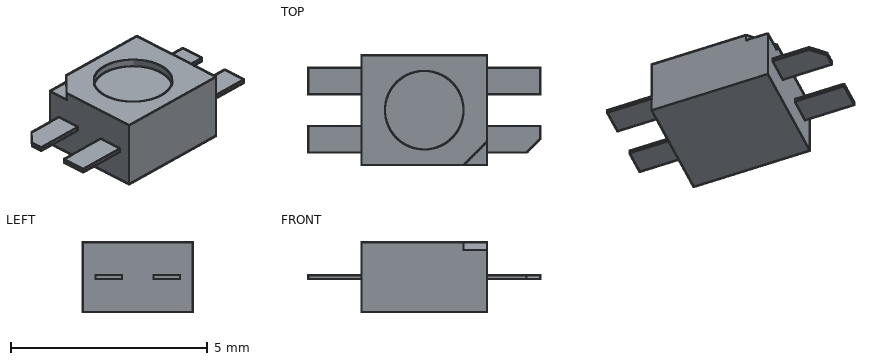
import cadquery as cq

housing_length = 3.2
housing_width = 2.8
housing_height = 1.78
housing_top = housing_height / 2

window_diameter = 2.0
window_depth = 0.2

mark_leg = 0.6
mark_depth = 0.2

overall_length = 5.91
lead_length = (overall_length - housing_length) / 2
lead_width = 0.68
lead_thickness = 0.1
lead_pitch = 1.48
lead_chamfer = 0.35


def make_housing():
    block = cq.Workplane("XY").box(housing_length, housing_width, housing_height)
    window = (
        cq.Workplane("XY")
        .workplane(offset=housing_top - window_depth)
        .circle(window_diameter / 2)
        .extrude(window_depth)
    )
    corner_x = housing_length / 2
    corner_y = -housing_width / 2
    corner_mark = (
        cq.Workplane("XY")
        .workplane(offset=housing_top - mark_depth)
        .moveTo(corner_x, corner_y)
        .lineTo(corner_x, corner_y + mark_leg)
        .lineTo(corner_x - mark_leg, corner_y)
        .close()
        .extrude(mark_depth)
    )
    return block.cut(window).cut(corner_mark)


def make_lead(x_side, y_side):
    """Lead that starts at the housing end face; x_side and y_side are -1 or 1."""
    center_x = x_side * (housing_length + lead_length) / 2
    center_y = y_side * lead_pitch / 2
    lead = cq.Workplane("XY").box(lead_length, lead_width, lead_thickness)
    if x_side > 0 and y_side < 0:
        lead = lead.edges("|Z and >X and <Y").chamfer(lead_chamfer)
    return lead.translate((center_x, center_y, 0))


housing = make_housing()
leads = [make_lead(x_side, y_side) for x_side in (-1, 1) for y_side in (-1, 1)]

result = cq.Compound.makeCompound([housing.val(), *[lead.val() for lead in leads]])